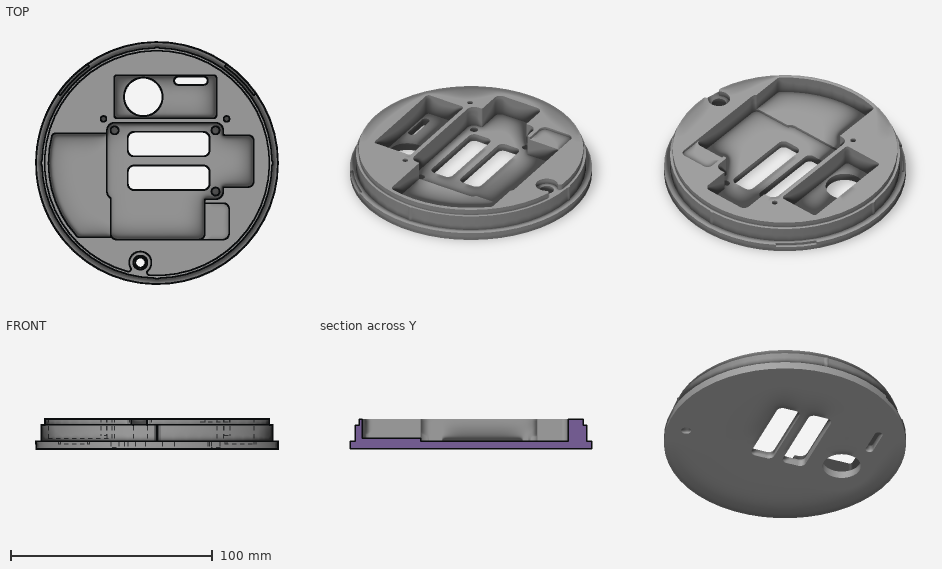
import cadquery as cq
import math

flange_radius = 60.0
flange_top = 4.0
ring_radius = 57.0
ring_top = 12.0
cap_radius = 55.7
total_height = 15.0

rib_count = 4
rib_tip_radius = 57.4
rib_base_half_width = 1.35
rib_tip_half_width = 0.33

notch_angles = (45.0, 135.0)
notch_width = 20.4
notch_inner_radius = 58.5
notch_depth = 1.4

main_floor = 4.0
left_floor = 5.5
ledge_floor = 13.5

board_center_x = 4.0

screw_spacing_x = 50.0
screw_top_y = 16.2
screw_bottom_y = -14.1
screw_diameter = 4.0
screw_depth = 3.0
screw_margin = 3.8
screw_left_x = board_center_x - screw_spacing_x / 2
screw_right_x = board_center_x + screw_spacing_x / 2
main_left = screw_left_x - screw_margin
main_right = screw_right_x + screw_margin
main_top = screw_top_y + screw_margin
main_bottom = screw_bottom_y - screw_margin

lower_left = -23.0
lower_right = 23.7
lower_bottom = -37.9
ledge_right = 35.7
ledge_top = -19.8
pocket_fillet = 3.0

right_pocket_right = 48.0
right_pocket_top = 13.9
right_pocket_bottom = -11.9
left_pocket_radius = 53.8
left_pocket_top = 14.7
left_pocket_bottom = -36.8
left_pocket_fillet = 2.0

corner_rounding = 0.5

window_center_x = 5.8
window_length = 40.4
window_width = 12.0
window_centers_y = (9.4, -7.3)
window_fillet = 3.0

upper_left = -21.3
upper_right = 29.5
upper_bottom = 22.2
upper_top = 43.6
upper_fillet = 1.5
port_diameter = 19.0
port_center = (-6.8, 32.8)
slot_length = 16.6
slot_width = 4.0
slot_center = (16.8, 40.8)

pilot_diameter = 2.9
pilot_spacing = 61.0
pilot_y = 21.9
pilot_depth = 8.0

fixing_radius = 50.0
fixing_angle = -99.5
fixing_diameter = 5.0
fixing_bore_diameter = 7.0
fixing_bore_depth = 8.0
recess_diameter = 11.0
neck_width = 8.0
neck_fillet = 1.4


def cylinder(radius, bottom, top, center=(0, 0)):
    return cq.Workplane("XY").workplane(offset=bottom).center(*center).circle(radius).extrude(top - bottom)


def block(left, right, low, high, bottom, top):
    center = ((left + right) / 2, (low + high) / 2)
    plane = cq.Workplane("XY").workplane(offset=bottom).center(*center)
    return plane.rect(right - left, high - low).extrude(top - bottom)


def cap():
    """Raised top disc with the fixing recess and its rounded neck cut out."""
    disc = cylinder(cap_radius, ring_top, total_height)
    recess = cylinder(recess_diameter / 2, ring_top, total_height, (fixing_radius, 0))
    neck = block(fixing_radius, flange_radius, -neck_width / 2, neck_width / 2, ring_top, total_height)
    disc = disc.cut(recess.union(neck))
    mouth_x = math.sqrt(cap_radius ** 2 - (neck_width / 2) ** 2)
    reach = neck_fillet / 2
    mouth = cq.selectors.BoxSelector(
        (mouth_x - reach, -neck_width, ring_top - reach),
        (mouth_x + reach, neck_width, total_height + reach),
    )
    disc = disc.edges("|Z").edges(mouth).fillet(neck_fillet)
    return disc.rotate((0, 0, 0), (0, 0, 1), fixing_angle)


def rib(angle):
    """Tapered vertical rib whose base is buried in the locating ring."""
    base_x = math.sqrt(ring_radius ** 2 - rib_base_half_width ** 2)
    outline = [
        (cap_radius, -rib_base_half_width),
        (base_x, -rib_base_half_width),
        (rib_tip_radius, -rib_tip_half_width),
        (rib_tip_radius, rib_tip_half_width),
        (base_x, rib_base_half_width),
        (cap_radius, rib_base_half_width),
    ]
    plane = cq.Workplane("XY").workplane(offset=flange_top)
    solid = plane.polyline(outline).close().extrude(ring_top - flange_top)
    return solid.rotate((0, 0, 0), (0, 0, 1), angle)


def rim_notch(angle):
    """Parallel-sided notch with a curved back, open to the top of the flange."""
    bottom = flange_top - notch_depth
    strip = block(0, flange_radius + notch_depth, -notch_width / 2, notch_width / 2, bottom, flange_top)
    notch = strip.cut(cylinder(notch_inner_radius, bottom, flange_top))
    return notch.rotate((0, 0, 0), (0, 0, 1), angle)


def main_pocket():
    upper = block(main_left, main_right, main_bottom, main_top, main_floor, total_height)
    upper = upper.edges("|Z").fillet(screw_margin)
    lower = block(lower_left, lower_right, lower_bottom, screw_top_y, main_floor, total_height)
    lower = lower.edges("|Z and <Y").fillet(pocket_fillet)
    right = block(
        screw_left_x, right_pocket_right, right_pocket_bottom, right_pocket_top, main_floor, total_height
    )
    right = right.edges("|Z and >X").fillet(pocket_fillet)
    return upper.union(lower).union(right)


def ledge_pocket():
    ledge = block(lower_left + pocket_fillet, ledge_right, lower_bottom, ledge_top, ledge_floor, total_height)
    return ledge.edges("|Z and >X").fillet(pocket_fillet)


def left_pocket():
    """Side pocket whose outer wall follows the rim."""
    inner_x = lower_left + pocket_fillet
    strip = block(-flange_radius, inner_x, left_pocket_bottom, left_pocket_top, left_floor, total_height)
    pocket = strip.intersect(cylinder(left_pocket_radius, left_floor, total_height))
    outer_corners = cq.selectors.BoxSelector(
        (-flange_radius, -flange_radius, 0), (main_left, flange_radius, total_height)
    )
    return pocket.edges("|Z").edges(outer_corners).fillet(left_pocket_fillet)


def corner_relief(corner, material_side, floor):
    """Sliver that rounds a wall corner; material_side holds the X and Y signs toward the wall."""
    half = corner_rounding / 2
    x, y = corner
    side_x, side_y = material_side
    square = cq.Workplane("XY").workplane(offset=floor).center(x + side_x * half, y + side_y * half)
    square = square.rect(corner_rounding, corner_rounding).extrude(total_height - floor)
    arc_center = (x + side_x * corner_rounding, y + side_y * corner_rounding)
    return square.cut(cylinder(corner_rounding, floor, total_height, arc_center))


def windows():
    centers = [(window_center_x, y) for y in window_centers_y]
    plane = cq.Workplane("XY").pushPoints(centers)
    return plane.rect(window_length, window_width).extrude(total_height).edges("|Z").fillet(window_fillet)


def upper_pocket():
    pocket = block(upper_left, upper_right, upper_bottom, upper_top, main_floor, total_height)
    pocket = pocket.edges("|Z").fillet(upper_fillet)
    port = cylinder(port_diameter / 2, 0, total_height, port_center)
    slot = cq.Workplane("XY").center(*slot_center).slot2D(slot_length, slot_width).extrude(total_height)
    return pocket.union(port).union(slot)


def board_screw_holes():
    centers = [
        (screw_left_x, screw_top_y),
        (screw_right_x, screw_top_y),
        (screw_right_x, screw_bottom_y),
    ]
    plane = cq.Workplane("XY").workplane(offset=main_floor - screw_depth).pushPoints(centers)
    return plane.circle(screw_diameter / 2).extrude(screw_depth)


def pilot_holes():
    centers = [(board_center_x + side * pilot_spacing / 2, pilot_y) for side in (-1, 1)]
    plane = cq.Workplane("XY").workplane(offset=total_height - pilot_depth).pushPoints(centers)
    return plane.circle(pilot_diameter / 2).extrude(pilot_depth)


def fixing_hole():
    angle = math.radians(fixing_angle)
    center = (fixing_radius * math.cos(angle), fixing_radius * math.sin(angle))
    through = cylinder(fixing_diameter / 2, 0, ring_top, center)
    bore = cylinder(fixing_bore_diameter / 2, ring_top - fixing_bore_depth, ring_top, center)
    return through.union(bore)


body = cylinder(flange_radius, 0, flange_top)
body = body.union(cylinder(ring_radius, flange_top, ring_top))
for index in range(rib_count):
    body = body.union(rib(index * 360 / rib_count))
body = body.union(cap())

for angle in notch_angles:
    body = body.cut(rim_notch(angle))
body = body.cut(main_pocket())
body = body.cut(ledge_pocket())
body = body.cut(left_pocket())
body = body.cut(corner_relief((main_left, left_pocket_top), (-1, 1), left_floor))
body = body.cut(corner_relief((main_right, right_pocket_top), (1, 1), main_floor))
body = body.cut(corner_relief((lower_right, main_bottom), (1, -1), main_floor))
body = body.cut(windows())
body = body.cut(upper_pocket())
body = body.cut(board_screw_holes())
body = body.cut(pilot_holes())
body = body.cut(fixing_hole())

result = body